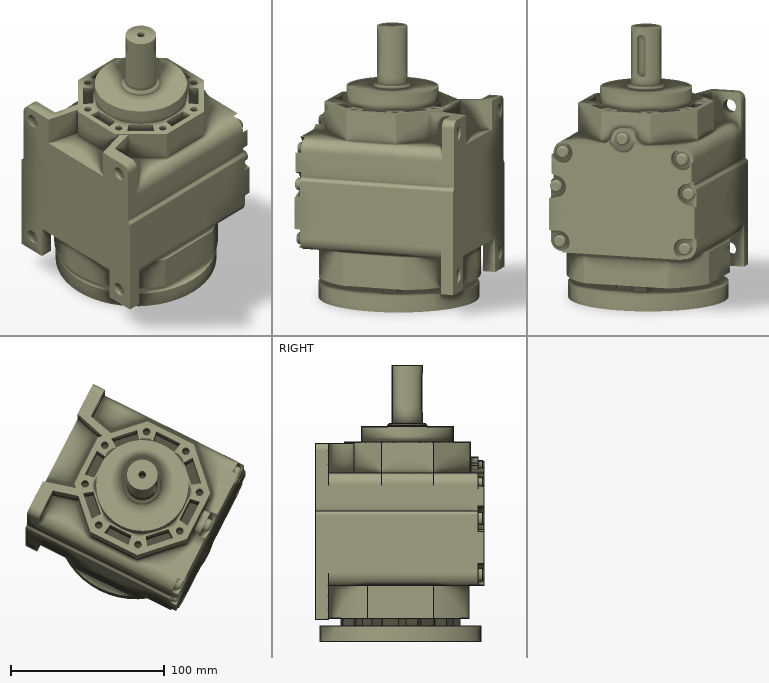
import cadquery as cq
import math


front_y = -60.0
back_y = 50.0
lower_half_width = 50.0
upper_half_width = 48.0
case_bottom = 36.5
case_top = 110.0
long_edge_radius = 8.0
step_top = 85.1
step_rounding = 1.6

octagon_width = 82.0
octagon_top = 130.0
boss_radius = 30.0
boss_top = 140.0
octagon_sides = 8
octagon_step = 360 / octagon_sides
octagon_side = octagon_width * math.tan(math.radians(octagon_step / 2))
shoulder_inset = upper_half_width - octagon_width / 2
tapped_hole_diameter = 5.0
tapped_hole_circle_radius = 37.5
tapped_hole_depth = 10.0
pocket_outer_distance = 37.6
pocket_inner_distance = 31.0
pocket_outer_width = 17.8
pocket_inner_width = 15.7
pocket_depth = 15.0

plate_thickness = 8.5
plate_bottom = 14.2
plate_top = 129.2
plate_corner_radius = 5.0
top_notch_half_width = 25.0
bottom_notch_half_width = 31.1
plate_hole_diameter = 9.0
plate_hole_x = 40.0
plate_hole_heights = (25.4, 120.0)
plate_back_y = front_y + plate_thickness

rib_root_x = 27.5
rib_corners = [
    (top_notch_half_width, front_y),
    (18.5, -36.0),
    (22.7, -32.4),
    (rib_root_x, plate_back_y),
    (rib_root_x, front_y),
]

input_axis_y = -4.5
drum_radius = 53.5
drum_half_width = 49.0
drum_bottom = 15.1
drum_back_y = 40.3
flange_diameter = 105.0
flange_thickness = 10.3
hub_radius = 31.5
screw_count = 8
screw_hex_sides = 6
screw_hex_width = 13.0
screw_circle_radius = 32.4
first_screw_angle = 11

cover_thickness = 8.6
cover_front_y = back_y - cover_thickness
spot_face_radius = 7.2
spot_face_depth = 4.0
spot_floor_y = back_y - spot_face_depth
bolt_head_radius = 4.0
bolt_head_chamfer = 0.9
edge_to_bolt = 7.0
middle_bolt_x = 45.5
bottom_bolt_x = lower_half_width - edge_to_bolt
middle_bolt_z = 80.1
bottom_bolt_z = case_bottom + edge_to_bolt
side_bolt_places = [
    (upper_half_width - edge_to_bolt, case_top - edge_to_bolt),
    (middle_bolt_x, middle_bolt_z),
    (bottom_bolt_x, bottom_bolt_z),
]
middle_mouth_flare = 1.0
lug_half_width = 8.0
lug_top = 120.2
lug_corner_radius = 5.5
lug_foot_radius = 6.5
lug_bolt_z = 114.0
lug_spot_face_radius = 9.0

shaft_top = 180.0
shaft_diameter = 20.0
shaft_radius = shaft_diameter / 2
seal_disc_radius = 26.0
seal_disc_thickness = 7.0
collar_radius = 12.8
collar_top_radius = 11.7
collar_rim_top = 140.8
collar_top = 142.0
key_width = 6.0
key_depth = 3.5
key_bottom = 148.0
key_top = 176.0
centre_hole_diameter = 5.0
centre_hole_depth = 16.0

drill_point_angle = 118


def prism_along_y(outline, y_from, y_to):
    """Extrude an outline drawn on the XZ plane between two Y positions."""
    return outline.extrude(y_from - y_to).translate((0, y_from, 0))


def drill(diameter, depth, top):
    """Drill-shaped cutter on the Z axis: full diameter down to a depth, then a cone."""
    radius = diameter / 2
    point_height = radius / math.tan(math.radians(drill_point_angle / 2))
    return (
        cq.Workplane("XZ")
        .polyline([(0, top), (radius, top), (radius, top - depth), (0, top - depth - point_height)])
        .close()
        .revolve(360, (0, 0, 0), (0, 1, 0))
    )


def case_profile(top_inset):
    """Cross-section of the case, with a sloped step on each side and rounded long edges.

    The top edges are rounded over the same height for any inset of the flat top.
    """
    slope_drop = step_rounding * math.sin(math.pi / 4)
    slope_inset = step_rounding * (1 - math.cos(math.pi / 4))
    slope_end_x = lower_half_width - slope_inset
    slope_end_z = step_top - (slope_end_x - upper_half_width)
    step_bottom = slope_end_z - slope_drop
    corner_offset = long_edge_radius * (1 - math.sqrt(0.5))
    rounding_offset = step_rounding * (1 - math.cos(math.pi / 8))
    rounding_mid = (
        lower_half_width - rounding_offset,
        step_bottom + step_rounding * math.sin(math.pi / 8),
    )
    return (
        cq.Workplane("XZ")
        .moveTo(0, case_bottom)
        .lineTo(lower_half_width - long_edge_radius, case_bottom)
        .threePointArc(
            (lower_half_width - corner_offset, case_bottom + corner_offset),
            (lower_half_width, case_bottom + long_edge_radius),
        )
        .lineTo(lower_half_width, step_bottom)
        .threePointArc(rounding_mid, (slope_end_x, slope_end_z))
        .lineTo(upper_half_width, step_top)
        .lineTo(upper_half_width, case_top - long_edge_radius)
        .threePointArc(
            (upper_half_width - top_inset * (1 - math.sqrt(0.5)), case_top - corner_offset),
            (upper_half_width - top_inset, case_top),
        )
        .lineTo(0, case_top)
        .mirrorY()
    )


def case_block():
    """Main block, with fuller top edges where the octagon stands on it."""
    block = prism_along_y(case_profile(long_edge_radius), front_y, cover_front_y)
    half_side = octagon_side / 2
    shoulder = prism_along_y(case_profile(shoulder_inset), -half_side, half_side)
    return block.union(shoulder)


def output_housing():
    """Octagon and boss, with tapped holes and pockets around the boss."""
    octagon = (
        cq.Workplane("XY")
        .workplane(offset=case_bottom + long_edge_radius)
        .polygon(octagon_sides, octagon_width, circumscribed=True)
        .extrude(octagon_top - case_bottom - long_edge_radius)
    )
    boss = cq.Workplane("XY").workplane(offset=octagon_top).circle(boss_radius)
    boss = boss.extrude(boss_top - octagon_top)
    tapped_hole = drill(tapped_hole_diameter, tapped_hole_depth, octagon_top)
    tapped_hole = tapped_hole.translate((tapped_hole_circle_radius, 0, 0))
    pocket = (
        cq.Workplane("XY")
        .workplane(offset=octagon_top - pocket_depth)
        .polyline([
            (pocket_inner_distance, -pocket_inner_width / 2),
            (pocket_outer_distance, -pocket_outer_width / 2),
            (pocket_outer_distance, pocket_outer_width / 2),
            (pocket_inner_distance, pocket_inner_width / 2),
        ])
        .close()
        .extrude(pocket_depth)
    )
    for index in range(octagon_sides):
        octagon = octagon.cut(pocket.rotate((0, 0, 0), (0, 0, 1), octagon_step * index))
        octagon = octagon.cut(tapped_hole.rotate((0, 0, 0), (0, 0, 1), octagon_step * (index + 0.5)))
    return octagon.union(boss)


def plate_box(half_width, z_from, z_to):
    """Box as thick as the mounting plate, centred on the YZ plane."""
    box = cq.Workplane("XY").box(
        2 * half_width, plate_thickness, z_to - z_from, centered=(True, False, False)
    )
    return box.translate((0, front_y, z_from))


def mounting_plate():
    """Plate with rounded top corners, a notch at the top and bottom, and four holes."""
    lower = plate_box(lower_half_width, plate_bottom, case_bottom + long_edge_radius)
    middle = prism_along_y(case_profile(long_edge_radius), front_y, plate_back_y)
    upper = plate_box(upper_half_width, step_top, plate_top)
    upper = upper.edges("|Y and >Z").fillet(plate_corner_radius)
    top_notch = plate_box(top_notch_half_width, case_top, plate_top)
    bottom_notch = plate_box(bottom_notch_half_width, plate_bottom, case_bottom)
    holes = prism_along_y(
        cq.Workplane("XZ")
        .pushPoints([(side * plate_hole_x, z) for side in (-1, 1) for z in plate_hole_heights])
        .circle(plate_hole_diameter / 2),
        front_y,
        plate_back_y,
    )
    return lower.union(middle).union(upper).cut(top_notch).cut(bottom_notch).cut(holes)


def plate_ribs():
    """Two upright ribs that tie the plate to the octagon."""
    rib = (
        cq.Workplane("XY").workplane(offset=case_top).polyline(rib_corners).close()
        .extrude(plate_top - case_top)
    )
    return rib.union(rib.mirror("YZ"))


def input_side():
    """Drum with two side flats and a back flat, the screw-head spacer and the flange."""
    drum = cq.Workplane("XY").workplane(offset=drum_bottom).center(0, input_axis_y).circle(drum_radius)
    drum = drum.extrude(case_bottom - drum_bottom)
    drum_limits = cq.Workplane("XY").box(
        2 * drum_half_width, drum_back_y - front_y, case_bottom, centered=(True, False, False)
    ).translate((0, front_y, 0))
    flange = cq.Workplane("XY").center(0, input_axis_y).circle(flange_diameter / 2).extrude(flange_thickness)
    spacer = cq.Workplane("XY").workplane(offset=flange_thickness).center(0, input_axis_y)
    spacer_height = drum_bottom - flange_thickness
    hub = spacer.circle(hub_radius).extrude(spacer_height)
    screw_heads = (
        spacer.polarArray(screw_circle_radius, first_screw_angle, 360, screw_count)
        .polygon(screw_hex_sides, screw_hex_width, circumscribed=True)
        .extrude(spacer_height)
    )
    return drum.intersect(drum_limits).union(hub).union(screw_heads).union(flange)


def bolt_head(x, z):
    """Round bolt head that stands on the floor of its spot face."""
    head = prism_along_y(
        cq.Workplane("XZ").center(x, z).circle(bolt_head_radius), spot_floor_y, back_y
    )
    return head.faces(">Y").chamfer(bolt_head_chamfer)


def cover_lug():
    """Lug on top of the cover: round shoulders, and hollow fillets at its foot."""
    foot_x = lug_half_width + lug_foot_radius
    foot_offset = lug_foot_radius * (1 - math.sqrt(0.5))
    shoulder_offset = lug_corner_radius * (1 - math.sqrt(0.5))
    outline = (
        cq.Workplane("XZ")
        .moveTo(0, case_top - long_edge_radius)
        .lineTo(foot_x, case_top - long_edge_radius)
        .lineTo(foot_x, case_top)
        .threePointArc(
            (lug_half_width + foot_offset, case_top + foot_offset),
            (lug_half_width, case_top + lug_foot_radius),
        )
        .lineTo(lug_half_width, lug_top - lug_corner_radius)
        .threePointArc(
            (lug_half_width - shoulder_offset, lug_top - shoulder_offset),
            (lug_half_width - lug_corner_radius, lug_top),
        )
        .lineTo(0, lug_top)
        .mirrorY()
    )
    return prism_along_y(outline, cover_front_y, back_y)


def spot_face_mouth(x, z, flare):
    """Cutter that opens a spot face on the +X side to the side of the cover, wider by a flare."""
    mouth_half_height = spot_face_radius + flare
    outline = (
        cq.Workplane("XZ")
        .polyline([
            (x, z - spot_face_radius),
            (upper_half_width, z - mouth_half_height),
            (lower_half_width, z - mouth_half_height),
            (lower_half_width, z + mouth_half_height),
            (upper_half_width, z + mouth_half_height),
            (x, z + spot_face_radius),
        ])
        .close()
    )
    return prism_along_y(outline, spot_floor_y, back_y)


def back_cover():
    """Cover slab with the case's cross-section, a lug and seven bolt heads in spot faces."""
    cover = prism_along_y(case_profile(long_edge_radius), cover_front_y, back_y).union(cover_lug())
    mouths = [
        spot_face_mouth(middle_bolt_x, middle_bolt_z, middle_mouth_flare),
        spot_face_mouth(bottom_bolt_x, bottom_bolt_z, 0),
    ]
    for mouth in mouths:
        cover = cover.cut(mouth).cut(mouth.mirror("YZ"))
    spots = [(side * x, z, spot_face_radius) for side in (-1, 1) for x, z in side_bolt_places]
    spots.append((0, lug_bolt_z, lug_spot_face_radius))
    for x, z, radius in spots:
        spot_face = prism_along_y(cq.Workplane("XZ").center(x, z).circle(radius), spot_floor_y, back_y)
        cover = cover.cut(spot_face).union(bolt_head(x, z))
    return cover


def gear_housing():
    """The whole housing, with a recess in its boss for the seal disc of the shaft."""
    housing = case_block().union(output_housing()).union(mounting_plate()).union(plate_ribs())
    housing = housing.union(input_side())
    seal_recess = (
        cq.Workplane("XY").workplane(offset=boss_top - seal_disc_thickness)
        .circle(seal_disc_radius).extrude(seal_disc_thickness)
    )
    return housing.cut(seal_recess).union(back_cover(), clean=False)


def output_shaft():
    """Shaft turned in one piece with its collar and seal disc, with a keyway on the +Y side."""
    turned = (
        cq.Workplane("XZ")
        .polyline([
            (0, boss_top - seal_disc_thickness),
            (seal_disc_radius, boss_top - seal_disc_thickness),
            (seal_disc_radius, boss_top),
            (collar_radius, boss_top),
            (collar_radius, collar_rim_top),
            (collar_top_radius, collar_top),
            (shaft_radius, collar_top),
            (shaft_radius, shaft_top),
            (0, shaft_top),
        ])
        .close()
        .revolve(360, (0, 0, 0), (0, 1, 0))
    )
    keyway = prism_along_y(
        cq.Workplane("XZ")
        .center(0, (key_bottom + key_top) / 2)
        .slot2D(key_top - key_bottom, key_width, 90),
        shaft_radius - key_depth,
        shaft_radius,
    )
    return turned.cut(keyway).cut(drill(centre_hole_diameter, centre_hole_depth, shaft_top))


housing = gear_housing()
shaft = output_shaft()
result = cq.Compound.makeCompound([housing.val(), shaft.val()])